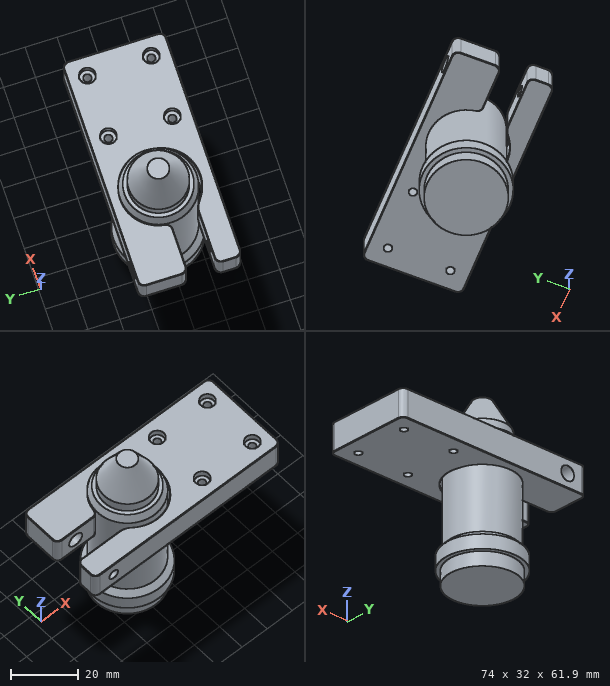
import cadquery as cq
import math

plate_length = 74.0
plate_width = 32.0
plate_thickness = 10.0
plate_bottom = 34.55
plate_corner_radius = 2.0
plate_edge_chamfer = 0.2
plate_middle_z = plate_bottom + plate_thickness / 2

front_prong_width = 8.0
rear_prong_width = 15.0
slot_front_y = -plate_width / 2 + front_prong_width
slot_rear_y = plate_width / 2 - rear_prong_width
front_throat_radius = 6.0
rear_throat_radius = 2.0

cross_hole_x = 7.5
front_cross_diameter = 3.5
rear_cross_diameter = 5.2

mount_spacing = 20.0
mount_end_distance = 6.0
mount_diameter = 2.5
mount_bore_diameter = 5.0
mount_bore_depth = 2.2

plunger_x = 28.05
plunger_y = slot_rear_y
plunger_height = 61.9
shaft_radius = 24.0 / 2
base_radius = 25.0 / 2
base_height = 5.0
collar_radius = 28.0 / 2
collar_edge_z = 10.0
collar_top_z = 11.9
shoulder_chamfer = 1.4
shoulder_top_z = 48.0
nose_radius = 18.5 / 2
tip_radius = 6.6 / 2
taper_angle = math.radians(30)
shoulder_top_radius = shaft_radius - shoulder_chamfer
shoulder_edge_z = shoulder_top_z - shoulder_chamfer / math.tan(taper_angle)
nose_edge_z = plunger_height - (nose_radius - tip_radius) / math.tan(taper_angle)


def make_plunger():
    """Revolve the stepped half profile about the plunger axis."""
    profile = [
        (0, 0),
        (base_radius, 0),
        (base_radius, base_height),
        (collar_radius, base_height),
        (collar_radius, collar_edge_z),
        (shaft_radius, collar_top_z),
        (shaft_radius, shoulder_edge_z),
        (shoulder_top_radius, shoulder_top_z),
        (nose_radius, shoulder_top_z),
        (nose_radius, nose_edge_z),
        (tip_radius, plunger_height),
        (0, plunger_height),
    ]
    body = cq.Workplane("XZ").polyline(profile).close().revolve(360, (0, 0), (0, 1))
    return body.translate((plunger_x, plunger_y, 0))


def throat_edge(plate, wall_y):
    """Select the upright edge where a slot wall meets the round pocket."""
    wall_x = plunger_x - math.sqrt(shaft_radius**2 - wall_y**2)
    return plate.edges(cq.NearestToPointSelector((wall_x, wall_y, plate_middle_z)))


def make_plate_blank():
    """Forked plate with a centred round pocket, rounded and chamfered all round."""
    plate = (
        cq.Workplane("XY", origin=(0, 0, plate_bottom))
        .rect(plate_length, plate_width)
        .extrude(plate_thickness)
        .translate((plate_length / 2, 0, 0))
    )
    slot = cq.Workplane("XY").box(
        plunger_x, slot_rear_y - slot_front_y, plate_thickness, centered=False
    ).translate((0, slot_front_y, plate_bottom))
    plate = plate.cut(slot)
    plate = plate.edges("|Z and (<X or >X)").fillet(plate_corner_radius)
    pocket = (
        cq.Workplane("XY", origin=(plunger_x, 0, plate_bottom))
        .circle(shaft_radius)
        .extrude(plate_thickness)
    )
    plate = plate.cut(pocket)
    plate = throat_edge(plate, slot_front_y).fillet(front_throat_radius)
    plate = throat_edge(plate, slot_rear_y).fillet(rear_throat_radius)
    return plate.faces("<Z or >Z").edges().chamfer(plate_edge_chamfer)


def cut_mounting_holes(plate):
    """Square pattern of holes, counterbored from the top."""
    pattern_x = plate_length - mount_end_distance - mount_spacing / 2
    return (
        plate.copyWorkplane(cq.Workplane("XY", origin=(pattern_x, 0, plate_bottom + plate_thickness)))
        .rect(mount_spacing, mount_spacing, forConstruction=True)
        .vertices()
        .cboreHole(mount_diameter, mount_bore_diameter, mount_bore_depth)
    )


def cross_hole(diameter, start_y, length):
    """Cylinder along +Y for the part of the cross hole in one prong."""
    return cq.Workplane(
        cq.Solid.makeCylinder(
            diameter / 2, length, cq.Vector(cross_hole_x, start_y, plate_middle_z), cq.Vector(0, 1, 0)
        )
    )


def make_plate():
    plate = cut_mounting_holes(make_plate_blank())
    plate = plate.cut(cross_hole(front_cross_diameter, -plate_width / 2, front_prong_width))
    return plate.cut(cross_hole(rear_cross_diameter, slot_rear_y, rear_prong_width))


plunger = make_plunger()
plate = make_plate().cut(plunger)

result = cq.Compound.makeCompound([plate.solids().val(), plunger.val()])